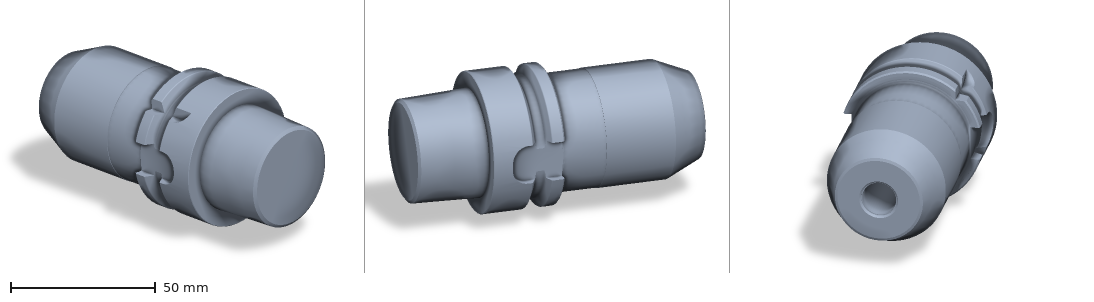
import cadquery as cq

length = 105.0

nose_radius = 15.5
nose_chamfer = 0.4
nose_chamfer_drop = 0.9
cone_end = 12.8
body_radius = 21.0
body_end = 37.8
neck_radius = 20.8
neck_fillet = 1.2

flange_start = 53.9
flange_end = 79.9
flange_radius = 25.0
front_chamfer = 0.5
recess_radius = 23.3
recess_depth = 0.2
recess_face = flange_start + recess_depth
rear_chamfer = 0.2
groove_floor_radius = 21.4
groove_start = 58.5
groove_floor_start = 60.3
groove_floor_end = 63.4
groove_end = 65.5
groove_fillet = 0.5

shank_radius = 19.2
shank_end_radius = 18.3
shank_chamfer_length = 0.8
shank_chamfer_drop = 1.2
shank_chamfer_start = length - shank_chamfer_length

bore_diameter = 12.0
bore_depth = 47.2
bore_floor_diameter = 10.8
floor_chamfer = (bore_diameter - bore_floor_diameter) / 2
relief_diameter = 12.5
relief_depth = 1.0
bore_mouth_diameter = 13.8
mouth_chamfer = (bore_mouth_diameter - relief_diameter) / 2

slot_floor = 21.0
slot_end = 73.1
front_slot_width = 12.0
rear_slot_width = 14.2
slot_corner_radius = front_slot_width / 2
notch_offset = 15.6
cut_start = flange_start - neck_fillet
cut_length = slot_end - cut_start
cut_depth = 10.5


def make_body():
    """Revolve the outer profile about X."""
    fillet_center = (recess_face - neck_fillet, neck_radius + neck_fillet)
    fillet_reach = neck_fillet * 0.5 ** 0.5
    fillet_middle = (fillet_center[0] + fillet_reach, fillet_center[1] - fillet_reach)
    turned = (
        cq.Workplane("XY")
        .lineTo(0, nose_radius - nose_chamfer_drop)
        .lineTo(nose_chamfer, nose_radius)
        .lineTo(cone_end, body_radius)
        .lineTo(body_end, body_radius)
        .lineTo(body_end, neck_radius)
        .lineTo(recess_face - neck_fillet, neck_radius)
        .threePointArc(fillet_middle, (recess_face, neck_radius + neck_fillet))
        .lineTo(recess_face, recess_radius)
        .lineTo(flange_start, recess_radius)
        .lineTo(flange_start, flange_radius - front_chamfer)
        .lineTo(flange_start + front_chamfer, flange_radius)
        .lineTo(groove_start, flange_radius)
        .lineTo(groove_floor_start, groove_floor_radius)
        .lineTo(groove_floor_end, groove_floor_radius)
        .lineTo(groove_end, flange_radius)
        .lineTo(flange_end - rear_chamfer, flange_radius)
        .lineTo(flange_end, flange_radius - rear_chamfer)
        .lineTo(flange_end, shank_radius)
        .lineTo(shank_chamfer_start, shank_end_radius)
        .lineTo(length, shank_end_radius - shank_chamfer_drop)
        .lineTo(length, 0)
        .close()
        .revolve(360, (0, 0), (1, 0))
    )
    groove_edges = cq.selectors.BoxSelector(
        (groove_start - groove_fillet, -groove_fillet, -groove_fillet),
        (groove_end + groove_fillet, groove_fillet, groove_fillet),
    )
    return turned.edges(groove_edges).fillet(groove_fillet)


def make_bore():
    """Blind bore with a short relief, a chamfered mouth and a beveled floor edge."""
    return (
        cq.Workplane("XY")
        .lineTo(0, bore_mouth_diameter / 2)
        .lineTo(mouth_chamfer, relief_diameter / 2)
        .lineTo(relief_depth, relief_diameter / 2)
        .lineTo(relief_depth, bore_diameter / 2)
        .lineTo(bore_depth - floor_chamfer, bore_diameter / 2)
        .lineTo(bore_depth, bore_floor_diameter / 2)
        .lineTo(bore_depth, 0)
        .close()
        .revolve(360, (0, 0), (1, 0))
    )


def make_slot(width, y_side):
    """Slot open toward the nose, with a flat floor facing the given Y side."""
    end_center = slot_end - slot_corner_radius
    corner_offset = width / 2 - slot_corner_radius
    straight_length = end_center - cut_start
    outer_y = max(y_side * slot_floor, y_side * (slot_floor + cut_depth))
    plane = cq.Workplane("XZ", origin=(0, outer_y, 0))
    straight = plane.center(cut_start + straight_length / 2, 0).rect(straight_length, width)
    slot = straight.extrude(cut_depth)
    for side in (-1, 1):
        corner = plane.center(end_center, side * corner_offset).circle(slot_corner_radius)
        slot = slot.union(corner.extrude(cut_depth))
    if corner_offset > 0:
        middle = plane.center(slot_end - cut_length / 2, 0).rect(cut_length, 2 * corner_offset)
        slot = slot.union(middle.extrude(cut_depth))
    return slot


def make_notch():
    """Right-angled notch on the -Y +Z side whose floor curves up at its end."""
    notch = cq.Workplane("XY").box(cut_length, cut_depth, cut_depth, centered=(False, True, False))
    notch = notch.edges(">X and <Z").fillet(slot_corner_radius)
    return notch.translate((cut_start, -notch_offset - cut_depth / 2, notch_offset))


result = (
    make_body()
    .cut(make_bore())
    .cut(make_slot(front_slot_width, -1))
    .cut(make_slot(rear_slot_width, 1))
    .cut(make_notch())
)